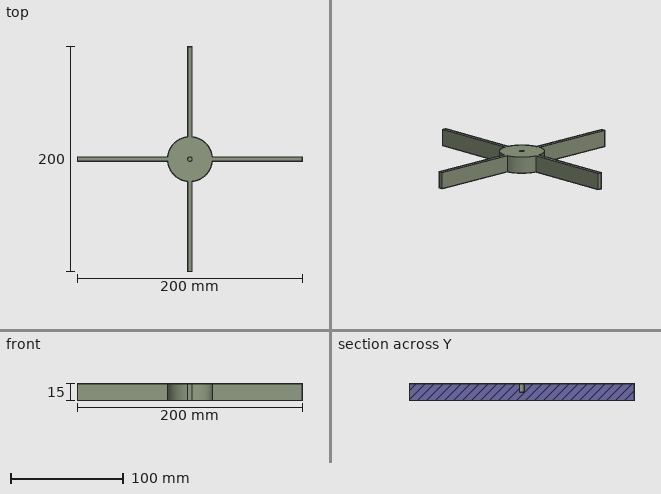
import cadquery as cq

span = 200.0
height = 15.0
hub_diameter = 40.0
arm_thickness = 4.0
bore_diameter = 4.0
bore_depth = height / 2


def crossing_bar(length_x, length_y):
    """Flat bar through the hub axis, forming two opposite arms."""
    return cq.Workplane("XY").rect(length_x, length_y).extrude(height)


hub = cq.Workplane("XY").circle(hub_diameter / 2).extrude(height)

body = hub.union(crossing_bar(span, arm_thickness)).union(crossing_bar(arm_thickness, span))

bore = (
    cq.Workplane("XY")
    .workplane(offset=height - bore_depth)
    .circle(bore_diameter / 2)
    .extrude(bore_depth)
)
result = body.cut(bore)